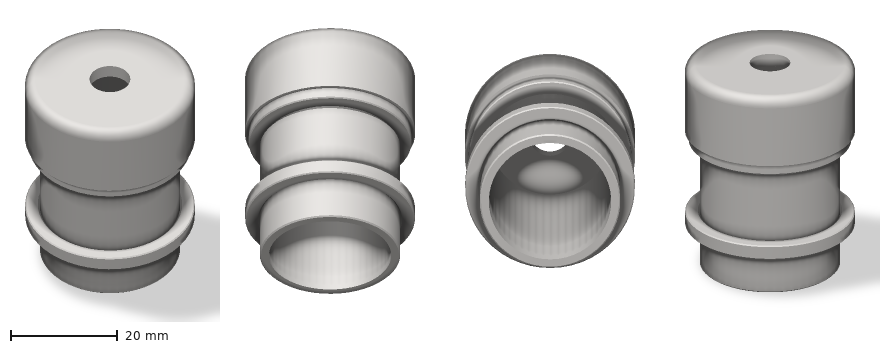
import cadquery as cq

TOTAL_HEIGHT = 41.4
CAP_BOTTOM = 27.5
SLEEVE_BOTTOM = 25.35
NECK_BOTTOM = 24.4
COLLAR_BOTTOM = 8.1
COLLAR_HEIGHT = 2.8
ROOF_THICKNESS = 2.55

CAP_DIAMETER = 31.88
CAP_HOLE_DIAMETER = 7.6
SLEEVE_DIAMETER = 30.45
COLLAR_DIAMETER = 31.75
TUBE_DIAMETER = 26.3
NECK_DIAMETER = 24.9
TUBE_BORE_DIAMETER = 22.9

CAP_ROUND = 1.95
SLEEVE_CHAMFER = 0.2
COLLAR_RIM_CHAMFER = 0.2
COLLAR_BORE_CHAMFER = 0.37
TUBE_CHAMFER = 0.25

CAP_CEILING = TOTAL_HEIGHT - ROOF_THICKNESS


def cylinder(diameter, bottom, top):
    """Solid cylinder on the Z axis between two heights."""
    return cq.Workplane("XY").workplane(offset=bottom).circle(diameter / 2).extrude(top - bottom)


def make_tube():
    """Straight tube whose reduced neck reaches up to the cap ceiling."""
    barrel = cylinder(TUBE_DIAMETER, 0, NECK_BOTTOM).faces("<Z").chamfer(TUBE_CHAMFER)
    neck = cylinder(NECK_DIAMETER, NECK_BOTTOM, CAP_CEILING)
    bore = cylinder(TUBE_BORE_DIAMETER, 0, CAP_CEILING)
    return barrel.union(neck).cut(bore)


def make_collar():
    """Loose ring around the tube, chamfered on both rims and both bore mouths."""
    collar_top = COLLAR_BOTTOM + COLLAR_HEIGHT
    disc = cylinder(COLLAR_DIAMETER, COLLAR_BOTTOM, collar_top).edges("%CIRCLE").chamfer(COLLAR_RIM_CHAMFER)
    ring = disc.cut(cylinder(TUBE_DIAMETER, COLLAR_BOTTOM, collar_top))
    bore_mouths = cq.selectors.RadiusNthSelector(0)
    return ring.faces("<Z or >Z").edges(bore_mouths).chamfer(COLLAR_BORE_CHAMFER)


def make_sleeve():
    """Ring on the neck, directly below the cap, with a chamfered lower rim."""
    disc = cylinder(SLEEVE_DIAMETER, SLEEVE_BOTTOM, CAP_BOTTOM).faces("<Z").chamfer(SLEEVE_CHAMFER)
    return disc.cut(cylinder(NECK_DIAMETER, SLEEVE_BOTTOM, CAP_BOTTOM))


def make_cap():
    """Cap with a rounded top rim, a central hole and a socket for the neck."""
    blank = cylinder(CAP_DIAMETER, CAP_BOTTOM, TOTAL_HEIGHT).faces(">Z").edges().fillet(CAP_ROUND)
    socket = cylinder(NECK_DIAMETER, CAP_BOTTOM, CAP_CEILING)
    hole = cylinder(CAP_HOLE_DIAMETER, CAP_CEILING, TOTAL_HEIGHT)
    return blank.cut(socket).cut(hole)


tube = make_tube()
collar = make_collar()
sleeve = make_sleeve()
cap = make_cap()

result = cq.Compound.makeCompound([tube.val(), collar.val(), sleeve.val(), cap.val()])